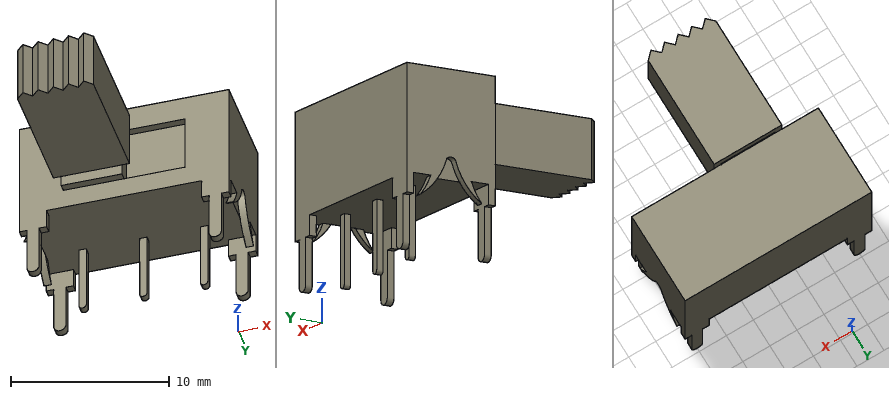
import cadquery as cq


overall_length = 15.5
overall_height = 12.0
shell_width = 13.8
shell_depth = 6.5
sheet = 0.5

base_top = -5.75
base_bottom = -7.15
shell_bottom = -8.5
pin_tip = -overall_height

window_width = 8.0
window_top = -1.75
stem_width = window_width / 2
knob_width = 5.0
knob_height = 4.0
knob_top = -1.0
tooth_count = 5

leg_pin_width = 0.8
leg_pin_inset = 0.5
leg_width = leg_pin_width + 2 * leg_pin_inset
solder_pin_width = 0.5
solder_pin_depth = 0.46
solder_pin_pitch = 4.0
solder_pin_y = 1.27

barb_root = 1.2
barb_outer_mid = (1.49, 1.4)
arch_shoulder = (0.34, 0.22)
barb_inner_mid = (0.9, 1.4)
barb_tip = 2.25

front_y = -shell_depth / 2
side_x = shell_width / 2
tooth_depth = sheet
knob_back_y = front_y - sheet
knob_tip_y = shell_depth / 2 - overall_length
knob_shoulder_y = knob_tip_y + tooth_depth
stem_x = -window_width / 4


def block(x_range, y_range, z_range):
    """Box spanning the given ranges."""
    (x0, x1), (y0, y1), (z0, z1) = x_range, y_range, z_range
    return cq.Workplane("XY").box(x1 - x0, y1 - y0, z1 - z0, centered=False).translate((x0, y0, z0))


def round_tip_pin(x, y, width, depth, top):
    """Flat pin centred on x and y, hanging from top, with a semicircular tip."""
    half = width / 2
    return (
        cq.Workplane("XZ", origin=(x, y + depth / 2, 0))
        .moveTo(-half, top)
        .lineTo(-half, pin_tip + half)
        .threePointArc((0, pin_tip), (half, pin_tip + half))
        .lineTo(half, top)
        .close()
        .extrude(depth)
    )


def make_body():
    """Shell and base, with the front window sunk by one sheet thickness."""
    body = block((-side_x, side_x), (front_y, -front_y), (base_bottom, 0))
    window = block(
        (-window_width / 2, window_width / 2),
        (front_y, front_y + sheet),
        (base_top, window_top),
    )
    return body.cut(window)


def make_slider():
    """Stem rising from the window floor and the knob with its toothed end."""
    stem = block(
        (stem_x - stem_width / 2, stem_x + stem_width / 2),
        (knob_back_y, front_y + sheet),
        (base_top, window_top),
    )
    left = stem_x - knob_width / 2
    pitch = knob_width / tooth_count
    outline = [(left + knob_width, knob_back_y), (left, knob_back_y), (left, knob_shoulder_y)]
    for tooth in range(tooth_count):
        start = left + tooth * pitch
        outline.append((start + pitch / 2, knob_tip_y))
        outline.append((start + pitch, knob_shoulder_y))
    knob = (
        cq.Workplane("XY", origin=(0, 0, knob_top))
        .polyline(outline)
        .close()
        .extrude(-knob_height)
    )
    return stem.union(knob)


def make_legs():
    """Four corner legs of the shell, each ending in a mounting pin."""
    legs = cq.Workplane("XY")
    leg_x = side_x - leg_width / 2
    wall_y = shell_depth / 2 - sheet / 2
    for x_sign in (-1, 1):
        for y_sign in (-1, 1):
            x, y = x_sign * leg_x, y_sign * wall_y
            leg = block(
                (x - leg_width / 2, x + leg_width / 2),
                (y - sheet / 2, y + sheet / 2),
                (shell_bottom, base_top),
            )
            pin = round_tip_pin(x, y, leg_pin_width, sheet, base_bottom)
            legs = legs.union(leg).union(pin)
    return legs


def make_solder_pins():
    """Row of three contacts under the base."""
    pins = cq.Workplane("XY")
    for step in (-1, 0, 1):
        x = step * solder_pin_pitch
        pins = pins.union(
            round_tip_pin(x, solder_pin_y, solder_pin_width, solder_pin_depth, base_top)
        )
    return pins


def side_wall_plane(x_start):
    """Plane facing +X whose local axes are Y and Z."""
    return cq.Workplane("YZ", origin=(x_start, 0, 0))


def make_barb_tab(x_start):
    """Flaring tab of the side wall, before the arch splits it into two barbs."""
    mid_y, mid_drop = barb_outer_mid
    mid_z = base_top - mid_drop
    return (
        side_wall_plane(x_start)
        .moveTo(-barb_root, base_top)
        .threePointArc((-mid_y, mid_z), (-barb_tip, shell_bottom))
        .lineTo(barb_tip, shell_bottom)
        .threePointArc((mid_y, mid_z), (barb_root, base_top))
        .close()
        .extrude(sheet)
    )


def make_barb_arch(x_start):
    """Round-topped opening between the two barbs."""
    shoulder_y, shoulder_drop = arch_shoulder
    mid_y, mid_drop = barb_inner_mid
    shoulder_z = base_top - shoulder_drop
    mid_z = base_top - mid_drop
    return (
        side_wall_plane(x_start)
        .moveTo(-barb_tip, shell_bottom)
        .threePointArc((-mid_y, mid_z), (-shoulder_y, shoulder_z))
        .threePointArc((0, base_top), (shoulder_y, shoulder_z))
        .threePointArc((mid_y, mid_z), (barb_tip, shell_bottom))
        .close()
        .extrude(sheet)
    )


result = make_body().union(make_slider()).union(make_legs()).union(make_solder_pins())
for wall_start in (-side_x, side_x - sheet):
    result = result.union(make_barb_tab(wall_start)).cut(make_barb_arch(wall_start))